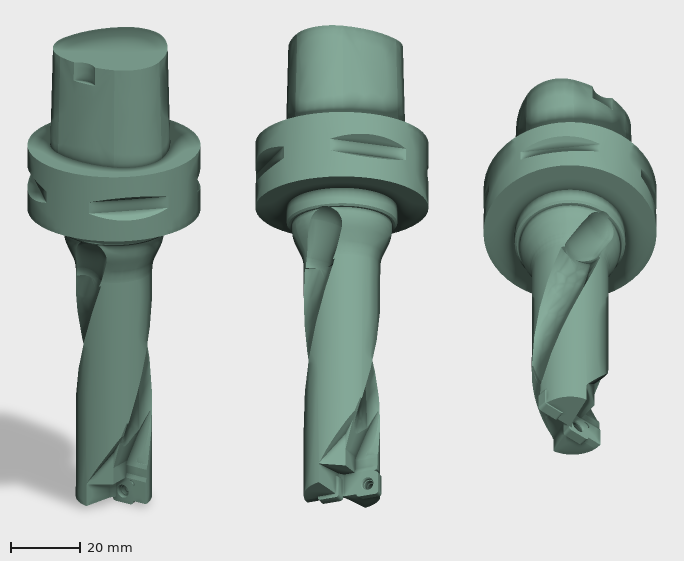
import cadquery as cq
import math

total_height = 141.0
shank_length = 30.0
flange_height = 20.0
collar_height = 5.4
collar_chamfer = 0.5
flange_top = total_height - shank_length
flange_bottom = flange_top - flange_height
collar_bottom = flange_bottom - collar_height
neck_top = 84.6
neck_bottom = 72.3
body_bottom = 1.3

flange_diameter = 50.0
collar_diameter = 32.0
neck_diameter = 29.0
body_diameter = 22.1
body_radius = body_diameter / 2
beyond = flange_diameter

lobe_radius = 12.1
lobe_offset = 6.3
flat_radius = 27.9
shank_taper = 1.5
lobe_angles = (-30, 90, 210)

notch_radius = 5.2
notch_depth = 5.6
notch_centre_y = -19.0

groove_floor = 22.1
groove_floor_height = 3.5
groove_mouth_height = 7.2
groove_angles = (45, 135, 225, 315)

flute_twist_rate = 1.702
flute_bottom = 13.1
flute_top = 70.9
flute_lip_radius = 11.3
flute_left_lip_angle = 219
flute_right_lip_angle = 284
flute_floor_radius = 5.9
flute_floor_angle = 256
flute_corner_radius = 7.3
flute_corner_angle = 286
runout_radius = 5.2
runout_start_radius = 11.3
runout_end = (1.1, -14.7, 80.6)

insert_size = 7.0
insert_thickness = 2.8
insert_corner = 1.0
insert_flank = 5
screw_mouth_diameter = 4.0
screw_head_diameter = 3.4
screw_shaft_diameter = 2.8
screw_thread_diameter = 2.0
screw_mouth_depth = 0.4
screw_head_depth = 1.3
screw_thread_depth = 2.1
seat_relief_diameter = 2.0
central_insert = (3.1, insert_size / 2)
peripheral_setback = 0.4
peripheral_insert = (8.0, insert_size / 2 + peripheral_setback)

seat_top = 8.0
pocket_top = 28.2
shoulder_left = -2.4
shoulder_edge = [(4.4, 18.3), (7.8, 24.0)]
pocket_top_left = 8.9
shoulder_depth = -6.3
web_edge = 4.1
web_lean_point = (6.2, 21.1)
step_depth = 0.4
first_step_top = 9.3
second_step_bottom = 11.8
floor_end = 5.6
wall_foot = (-0.4, -1.4)
floor_foot = 0.7

relief_start = 2.1
relief_end = body_radius + 1.4
relief_top = 2.5


def polar(radius, angle):
    """Point at a distance from the axis in a direction given in degrees."""
    return radius * math.cos(math.radians(angle)), radius * math.sin(math.radians(angle))


def opposite(shape):
    """The same shape half a turn around the tool axis."""
    return shape.rotate((0, 0, 0), (0, 0, 1), 180)


def make_shank():
    """Taper whose section is three lobes joined by wide arcs tangent to them."""
    arc_gap = flat_radius - lobe_radius
    flat_offset = math.sqrt(arc_gap**2 - 0.75 * lobe_offset**2) - lobe_offset / 2

    def joint(lobe_angle, flat_angle):
        """Tangent point of a lobe and the wide arc beside it."""
        lobe_x, lobe_y = polar(lobe_offset, lobe_angle)
        flat_x, flat_y = polar(-flat_offset, flat_angle)
        reach = lobe_radius / arc_gap
        return lobe_x + (lobe_x - flat_x) * reach, lobe_y + (lobe_y - flat_y) * reach

    first = lobe_angles[0]
    outline = cq.Workplane("XY", origin=(0, 0, flange_top)).moveTo(*joint(first, first - 60))
    for angle in lobe_angles:
        lobe_tip = polar(lobe_offset + lobe_radius, angle)
        flat_middle = polar(flat_radius - flat_offset, angle + 60)
        outline = outline.threePointArc(lobe_tip, joint(angle, angle + 60))
        outline = outline.threePointArc(flat_middle, joint(angle + 120, angle + 60))
    return outline.close().extrude(shank_length, taper=shank_taper)


def make_key_notch():
    """Upright round-bottomed notch in the edge of the shank's end."""
    notch = cq.Workplane("XY", origin=(0, notch_centre_y, total_height - notch_depth))
    return notch.circle(notch_radius).extrude(notch_depth)


def make_turned_holder():
    """Flange, collar, flared neck and drill body in one revolved outline."""
    axial = (0, 1)
    return (
        cq.Workplane("XZ")
        .moveTo(0, body_bottom)
        .lineTo(body_radius, body_bottom)
        .lineTo(body_radius, neck_bottom)
        .spline([(neck_diameter / 2, neck_top)], tangents=[axial, axial], includeCurrent=True)
        .lineTo(neck_diameter / 2, collar_bottom)
        .lineTo(collar_diameter / 2 - collar_chamfer, collar_bottom)
        .lineTo(collar_diameter / 2, collar_bottom + collar_chamfer)
        .lineTo(collar_diameter / 2, flange_bottom)
        .lineTo(flange_diameter / 2, flange_bottom)
        .lineTo(flange_diameter / 2, flange_top)
        .lineTo(0, flange_top)
        .close()
        .revolve(360, (0, 0, 0), (0, 1, 0))
    )


def make_gripper_groove(angle):
    """Straight groove across the flange with a flat floor and sloping sides."""
    depth = flange_diameter / 2 - groove_floor
    middle = (flange_top + flange_bottom) / 2
    section = [
        (groove_floor, middle - groove_floor_height / 2),
        (groove_floor + depth, middle - groove_mouth_height / 2),
        (groove_floor + depth, middle + groove_mouth_height / 2),
        (groove_floor, middle + groove_floor_height / 2),
    ]
    groove = cq.Workplane("XZ").polyline(section).close().extrude(flange_diameter / 2, both=True)
    return groove.rotate((0, 0, 0), (0, 0, 1), angle)


def make_flute():
    """Helical flute that leaves the neck through a straight, ball-ended run-out."""
    length = flute_top - flute_bottom
    twist = flute_twist_rate * length
    middle_angle = (flute_left_lip_angle + flute_right_lip_angle) / 2
    helix = (
        cq.Workplane("XY", origin=(0, 0, flute_bottom))
        .moveTo(*polar(flute_lip_radius, flute_left_lip_angle - twist))
        .threePointArc(
            polar(flute_floor_radius, flute_floor_angle - twist),
            polar(flute_corner_radius, flute_corner_angle - twist),
        )
        .lineTo(*polar(flute_lip_radius, flute_right_lip_angle - twist))
        .lineTo(*polar(2 * flute_lip_radius, middle_angle - twist))
        .close()
        .twistExtrude(length, twist)
    )
    start = cq.Vector(*polar(runout_start_radius, middle_angle), flute_top)
    path = cq.Vector(*runout_end) - start
    runout = cq.Solid.makeCylinder(runout_radius, path.Length, start, path)
    joint_ball = cq.Workplane("XY").sphere(runout_radius).translate(start)
    end_ball = cq.Workplane("XY").sphere(runout_radius).translate(runout_end)
    return helix.union(joint_ball).union(cq.Workplane(runout)).union(end_ball)


def make_upper_pocket():
    """Chip space above the central insert: it opens toward -Y and climbs into the flute."""
    shoulder_outline = [
        (shoulder_left, seat_top),
        *shoulder_edge,
        (pocket_top_left, pocket_top),
        (beyond, pocket_top),
        (beyond, seat_top),
    ]
    shoulder_section = [
        (shoulder_left, -body_radius),
        (web_edge, shoulder_depth),
        (beyond, shoulder_depth),
        (beyond, -beyond),
        (shoulder_left, -beyond),
    ]
    shoulder = (
        cq.Workplane("XZ").polyline(shoulder_outline).close().extrude(beyond)
        .intersect(cq.Workplane("XY").polyline(shoulder_section).close().extrude(pocket_top))
    )
    web_outline = [
        (web_edge, seat_top),
        (web_edge, flute_bottom),
        web_lean_point,
        (pocket_top_left, pocket_top),
        (beyond, pocket_top),
        (beyond, seat_top),
    ]
    floor_steps = [
        (shoulder_depth, seat_top),
        (0, seat_top),
        (step_depth, first_step_top),
        (step_depth, second_step_bottom),
        (2 * step_depth, flute_bottom),
        (floor_end, pocket_top),
        (shoulder_depth, pocket_top),
    ]
    floor = (
        cq.Workplane("XZ").polyline(web_outline).close().extrude(beyond, both=True)
        .intersect(cq.Workplane("YZ").polyline(floor_steps).close().extrude(beyond))
    )
    return shoulder.union(floor)


def make_lower_pocket():
    """Chip space in front of an insert: a flat floor through the axis and a leaning wall."""
    outline = [
        (shoulder_left, -body_radius),
        wall_foot,
        (floor_foot, 0),
        (beyond, 0),
        (beyond, -beyond),
        (shoulder_left, -beyond),
    ]
    return cq.Workplane("XY").polyline(outline).close().extrude(seat_top)


def make_tip_relief():
    """Slope of the end face behind the central insert."""
    profile = [(relief_start, body_bottom), (relief_end, body_bottom), (relief_end, relief_top)]
    return cq.Workplane("YZ").polyline(profile).close().extrude(beyond, both=True)


def insert_blank():
    """Square insert without its screw hole; the cutting face lies on Y = 0 and faces -Y."""
    return (
        cq.Workplane("XZ")
        .sketch()
        .rect(insert_size, insert_size)
        .vertices()
        .fillet(insert_corner)
        .finalize()
        .extrude(-insert_thickness, taper=insert_flank)
    )


def screw_hole():
    """Countersunk, stepped hole through an insert."""
    profile = [
        (0, 0),
        (screw_mouth_diameter / 2, 0),
        (screw_head_diameter / 2, screw_mouth_depth),
        (screw_head_diameter / 2, screw_head_depth),
        (screw_shaft_diameter / 2, screw_head_depth),
        (screw_shaft_diameter / 2, insert_thickness),
        (0, insert_thickness),
    ]
    return cq.Workplane("XY").polyline(profile).close().revolve(360, (0, 0, 0), (0, 1, 0))


def make_seat():
    """Room for an insert, with its threaded hole and the relief in its inner corner."""
    seat_depth = insert_thickness + screw_thread_depth
    thread = cq.Workplane("XZ").circle(screw_thread_diameter / 2).extrude(-seat_depth)
    corner = insert_size / 2 - seat_relief_diameter / 4
    relief = (
        cq.Workplane("XZ")
        .moveTo(corner, corner)
        .circle(seat_relief_diameter / 2)
        .extrude(-insert_thickness)
    )
    return insert_blank().union(thread).union(relief)


def at_central(shape):
    radial, height = central_insert
    return shape.translate((radial, 0, height))


def at_peripheral(shape):
    radial, height = peripheral_insert
    return opposite(shape.translate((radial, 0, height)))


def make_holder():
    holder = make_turned_holder().union(make_shank()).cut(make_key_notch())
    for angle in groove_angles:
        holder = holder.cut(make_gripper_groove(angle))
    holder = holder.cut(make_tip_relief())
    for cutter in (make_flute(), make_upper_pocket(), make_lower_pocket()):
        holder = holder.cut(cutter).cut(opposite(cutter))
    for place in (at_central, at_peripheral):
        holder = holder.cut(place(make_seat()))
    return holder


def make_inserts():
    insert = insert_blank().cut(screw_hole())
    return [place(insert) for place in (at_central, at_peripheral)]


holder = make_holder()
inserts = make_inserts()
result = cq.Compound.makeCompound([holder.val(), *[insert.val() for insert in inserts]])